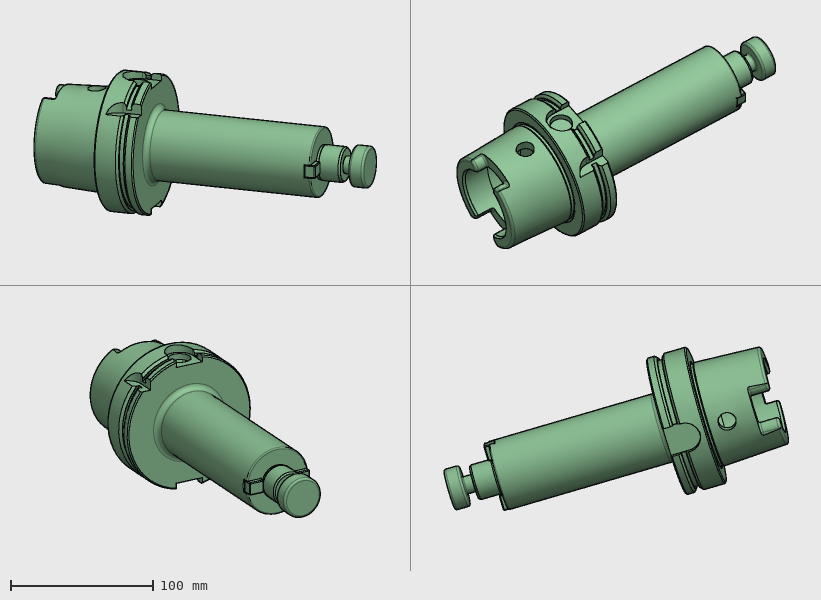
import cadquery as cq
import math


ARC_MID = 1 - math.sqrt(0.5)

TAPER_END_X = 48.0
FLANGE_FACE_X = 50.0
GROOVE_CENTRE_X = 69.9
FLANGE_END_X = 79.1
BODY_END_X = 202.5
ARBOR_END_X = 220.3
HEAD_START_X = 227.2
TOTAL_LENGTH = 238.5

TAPER_BIG_DIA = 75.8
TAPER_RATE = 0.1
NECK_DIA = 74.9
NECK_STEP_LENGTH = 0.7
LOBE_END_ROUND = 2.0
BORE_DIA = 53.0
BORE_DEPTH = 47.7
BORE_CHAMFER_LENGTH = 2.0
BORE_CHAMFER_DEPTH = 0.7
CHAMBER_DIA = 60.5
CHAMBER_START_X = 20.7
CHAMBER_FLOOR_DIA = 49.5
CROSS_HOLE_DIA = 12.6
CROSS_HOLE_X = 34.8

NOTCH_WIDTH = 20.5
NOTCH_FLARE_RADIUS = 6.0
NOTCH_FLARE_TOP = 31.2
NOTCH_FLOOR_ROUND = 1.5
TOP_NOTCH_DEPTH = 10.0
BOTTOM_NOTCH_DEPTH = 14.8

FLANGE_DIA = 100.0
FLANGE_CHAMFER = 1.0
FACE_RECESS_DIA = 78.2
FACE_RECESS_DEPTH = 0.7
GROOVE_FLOOR_DIA = 92.5
GROOVE_CHANNEL_DIA = 95.8
GROOVE_CHANNEL_WIDTH = 3.8
GROOVE_THROAT_WIDTH = 3.0
GROOVE_MOUTH_WIDTH = 7.2
SLOT_WIDTH = 21.0
SLOT_CENTRE_X = 65.3
SLOT_FLOOR_Z = 44.0
CHIP_HOLE_DIA = 16.0
CHIP_HOLE_DEPTH = 4.5
SIDE_NOTCH_WALL_Y = -31.5
SIDE_NOTCH_FLOOR_Z = 31.2

BODY_DIA = 50.0
BODY_FILLET = 4.0
BODY_END_ROUND = 1.0
ARBOR_DIA = 25.5
RELIEF_DIA = 24.8
RELIEF_WIDTH = 2.0
ARBOR_CHAMFER_LENGTH = 1.5
ARBOR_CHAMFER_DEPTH = 1.0
COOLANT_HOLE_DIA = 21.0
COOLANT_HOLE_END_X = 178.8
COOLANT_MOUTH_DIA = 25.5

KEY_WIDTH = 9.5
KEY_START_X = 197.9
KEY_END_X = 206.0
KEY_INNER_Y = 12.9
KEY_OUTER_Y = 24.3
KEY_CHAMFER = 0.7

THREAD_DIA = 12.0
THREAD_TIP_CHAMFER = 0.5
NECK_FILLET = 0.7
SCREW_NECK_DIA = 12.6
HEAD_DIA = 29.8
HEAD_ROUND = 1.7


def rod(diameter, start_x, end_x):
    """Cylinder on the tool axis."""
    return cq.Workplane("YZ", origin=(start_x, 0, 0)).circle(diameter / 2).extrude(end_x - start_x)


def revolve_about_x(outline):
    """Solid of revolution about the tool axis from a closed list of (x, radius) points."""
    return cq.Workplane("XY").polyline(outline).close().revolve(360, (0, 0, 0), (1, 0, 0))


def taper_shank():
    """Solid taper and neck, with the two drive notches and rounded lobe ends."""
    small_radius = (TAPER_BIG_DIA - TAPER_RATE * TAPER_END_X) / 2
    neck_end_x = FLANGE_FACE_X + FACE_RECESS_DEPTH
    shank = revolve_about_x(
        [
            (0, 0),
            (0, small_radius),
            (TAPER_END_X, TAPER_BIG_DIA / 2),
            (TAPER_END_X + NECK_STEP_LENGTH, NECK_DIA / 2),
            (neck_end_x, NECK_DIA / 2),
            (neck_end_x, 0),
        ]
    )
    top_notch = drive_notch(TOP_NOTCH_DEPTH)
    bottom_notch = drive_notch(BOTTOM_NOTCH_DEPTH).rotate((0, 0, 0), (1, 0, 0), 180)
    return shank.cut(top_notch).cut(bottom_notch).faces("<X").edges().fillet(LOBE_END_ROUND)


def drive_notch(depth):
    """Upward notch whose walls flare outwards round the lobe ends, with rounded floor edges."""
    half_width = NOTCH_WIDTH / 2
    flare_half_width = half_width + NOTCH_FLARE_RADIUS
    flare_start_z = NOTCH_FLARE_TOP - NOTCH_FLARE_RADIUS
    flare_mid = NOTCH_FLARE_RADIUS * ARC_MID
    mid_y = half_width + flare_mid
    mid_z = NOTCH_FLARE_TOP - flare_mid
    outside = TAPER_BIG_DIA / 2
    return (
        cq.Workplane("YZ")
        .moveTo(-half_width, 0)
        .lineTo(half_width, 0)
        .lineTo(half_width, flare_start_z)
        .threePointArc((mid_y, mid_z), (flare_half_width, NOTCH_FLARE_TOP))
        .lineTo(outside, NOTCH_FLARE_TOP)
        .lineTo(outside, outside)
        .lineTo(-outside, outside)
        .lineTo(-outside, NOTCH_FLARE_TOP)
        .lineTo(-flare_half_width, NOTCH_FLARE_TOP)
        .threePointArc((-mid_y, mid_z), (-half_width, flare_start_z))
        .close()
        .extrude(depth)
        .faces(">X")
        .edges()
        .fillet(NOTCH_FLOOR_ROUND)
    )


def flange():
    """Chamfered disc with a shallow face recess round the neck and the gripper groove."""
    disc = rod(FLANGE_DIA, FLANGE_FACE_X, FLANGE_END_X).edges().chamfer(FLANGE_CHAMFER)
    recess = rod(FACE_RECESS_DIA, FLANGE_FACE_X, FLANGE_FACE_X + FACE_RECESS_DEPTH)
    return disc.cut(recess).cut(gripper_groove())


def gripper_groove():
    """V-shaped groove that runs down into a slightly wider square channel."""
    throat_radius = GROOVE_CHANNEL_DIA / 2
    mouth_radius = FLANGE_DIA / 2
    vee = revolve_about_x(
        [
            (GROOVE_CENTRE_X - GROOVE_THROAT_WIDTH / 2, throat_radius),
            (GROOVE_CENTRE_X + GROOVE_THROAT_WIDTH / 2, throat_radius),
            (GROOVE_CENTRE_X + GROOVE_MOUTH_WIDTH / 2, mouth_radius),
            (GROOVE_CENTRE_X - GROOVE_MOUTH_WIDTH / 2, mouth_radius),
        ]
    )
    channel_start_x = GROOVE_CENTRE_X - GROOVE_CHANNEL_WIDTH / 2
    channel_end_x = GROOVE_CENTRE_X + GROOVE_CHANNEL_WIDTH / 2
    channel = rod(GROOVE_CHANNEL_DIA, channel_start_x, channel_end_x)
    core = rod(GROOVE_FLOOR_DIA, channel_start_x, channel_end_x)
    return vee.union(channel.cut(core))


def round_ended_slot(centre_y, start_z, end_z):
    """Slot along X with a half-round end, open through the far side of the flange."""
    length = FLANGE_END_X - SLOT_CENTRE_X
    base = cq.Workplane("XY", origin=(SLOT_CENTRE_X, centre_y, start_z))
    straight = base.center(length / 2, 0).rect(length, SLOT_WIDTH).extrude(end_z - start_z)
    return base.circle(SLOT_WIDTH / 2).extrude(end_z - start_z).union(straight)


def flange_slots():
    """Top and bottom key slots, the code chip hole and the orientation notch."""
    rim = FLANGE_DIA / 2
    top = round_ended_slot(0, SLOT_FLOOR_Z, rim)
    bottom = round_ended_slot(0, -rim, -SLOT_FLOOR_Z)
    chip_hole = (
        cq.Workplane("XY", origin=(SLOT_CENTRE_X, 0, SLOT_FLOOR_Z))
        .circle(CHIP_HOLE_DIA / 2)
        .extrude(-CHIP_HOLE_DEPTH)
    )
    side = round_ended_slot(SIDE_NOTCH_WALL_Y - SLOT_WIDTH / 2, SIDE_NOTCH_FLOOR_Z, rim)
    return top.union(bottom).union(chip_hole).union(side)


def body_and_arbor():
    """Long body with a filleted root, and the relieved and chamfered arbor on its end."""
    body_radius = BODY_DIA / 2
    arbor_radius = ARBOR_DIA / 2
    relief_radius = RELIEF_DIA / 2
    round_mid = BODY_END_ROUND * ARC_MID
    fillet_mid = BODY_FILLET * ARC_MID
    return (
        cq.Workplane("XY")
        .moveTo(FLANGE_END_X, 0)
        .lineTo(FLANGE_END_X, body_radius + BODY_FILLET)
        .threePointArc(
            (FLANGE_END_X + fillet_mid, body_radius + fillet_mid),
            (FLANGE_END_X + BODY_FILLET, body_radius),
        )
        .lineTo(BODY_END_X - BODY_END_ROUND, body_radius)
        .threePointArc(
            (BODY_END_X - round_mid, body_radius - round_mid),
            (BODY_END_X, body_radius - BODY_END_ROUND),
        )
        .lineTo(BODY_END_X, relief_radius)
        .lineTo(BODY_END_X + RELIEF_WIDTH, relief_radius)
        .lineTo(BODY_END_X + RELIEF_WIDTH, arbor_radius)
        .lineTo(ARBOR_END_X - ARBOR_CHAMFER_LENGTH, arbor_radius)
        .lineTo(ARBOR_END_X, arbor_radius - ARBOR_CHAMFER_DEPTH)
        .lineTo(ARBOR_END_X, 0)
        .close()
        .revolve(360, (0, 0, 0), (1, 0, 0))
    )


def taper_bore():
    """Chamfered entry that steps out into a wider chamber with a sloping corner at its floor."""
    entry = BORE_DIA / 2
    chamber = CHAMBER_DIA / 2
    floor = CHAMBER_FLOOR_DIA / 2
    outline = [
        (0, 0),
        (0, entry + BORE_CHAMFER_DEPTH),
        (BORE_CHAMFER_LENGTH, entry),
        (CHAMBER_START_X, entry),
        (CHAMBER_START_X, chamber),
        (BORE_DEPTH - (chamber - floor), chamber),
        (BORE_DEPTH, floor),
        (BORE_DEPTH, 0),
    ]
    return revolve_about_x(outline)


def screw_bores():
    """Coolant hole with a conical mouth, and the narrower hole for the screw thread."""
    mouth = COOLANT_MOUTH_DIA / 2
    coolant = COOLANT_HOLE_DIA / 2
    thread = THREAD_DIA / 2
    outline = [
        (BORE_DEPTH, 0),
        (BORE_DEPTH, mouth),
        (BORE_DEPTH + mouth - coolant, coolant),
        (COOLANT_HOLE_END_X, coolant),
        (COOLANT_HOLE_END_X, thread),
        (ARBOR_END_X, thread),
        (ARBOR_END_X, 0),
    ]
    return revolve_about_x(outline)


def make_key(side):
    """Chamfered block on the +Y or -Y side of the arbor."""
    return (
        cq.Workplane("XY")
        .box(KEY_END_X - KEY_START_X, KEY_OUTER_Y - KEY_INNER_Y, KEY_WIDTH)
        .edges()
        .chamfer(KEY_CHAMFER)
        .translate(((KEY_START_X + KEY_END_X) / 2, side * (KEY_INNER_Y + KEY_OUTER_Y) / 2, 0))
    )


def key_slot(side):
    """Slot that holds a key, open to the end and the outside of the body."""
    depth = BODY_DIA / 2 - KEY_INNER_Y
    length = BODY_END_X - KEY_START_X
    return (
        cq.Workplane("XY")
        .box(length, depth, KEY_WIDTH)
        .translate((KEY_START_X + length / 2, side * (KEY_INNER_Y + depth / 2), 0))
    )


def make_housing():
    """Taper, flange, body and arbor in one piece, with all their bores and slots."""
    housing = taper_shank().union(flange().cut(flange_slots())).union(body_and_arbor())
    housing = housing.cut(taper_bore()).cut(screw_bores())
    cross_hole = cq.Workplane("XY").center(CROSS_HOLE_X, 0).circle(CROSS_HOLE_DIA / 2)
    housing = housing.cut(cross_hole.extrude(TAPER_BIG_DIA / 2, both=True))
    for side in (1, -1):
        housing = housing.cut(key_slot(side))
    return housing


def make_screw():
    """Thread inside the arbor, a thicker neck seated on the arbor end, and a round head."""
    thread = rod(THREAD_DIA, COOLANT_HOLE_END_X, ARBOR_END_X)
    thread = thread.faces("<X").edges().chamfer(THREAD_TIP_CHAMFER)
    head = rod(HEAD_DIA, HEAD_START_X, TOTAL_LENGTH).edges().fillet(HEAD_ROUND)
    neck_radius = SCREW_NECK_DIA / 2
    fillet_mid = NECK_FILLET * ARC_MID
    neck = (
        cq.Workplane("XY")
        .moveTo(ARBOR_END_X, 0)
        .lineTo(ARBOR_END_X, neck_radius)
        .lineTo(HEAD_START_X - NECK_FILLET, neck_radius)
        .threePointArc(
            (HEAD_START_X - fillet_mid, neck_radius + fillet_mid),
            (HEAD_START_X, neck_radius + NECK_FILLET),
        )
        .lineTo(HEAD_START_X, 0)
        .close()
        .revolve(360, (0, 0, 0), (1, 0, 0))
    )
    return thread.union(neck).union(head)


housing = make_housing()
keys = [make_key(side) for side in (1, -1)]
screw = make_screw()

result = cq.Compound.makeCompound([housing.val(), *[key.val() for key in keys], screw.val()])